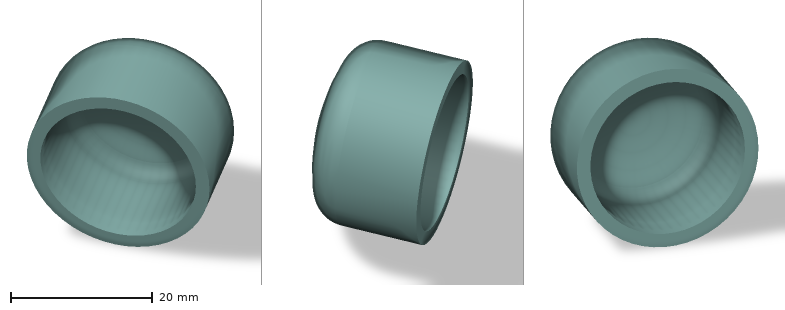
import cadquery as cq
import math

outer_diameter = 26.9
bore_diameter = 22.9
total_length = 18.25
skirt_length = 12.0
crown_radius = 29.6

outer_radius = outer_diameter / 2
wall = (outer_diameter - bore_diameter) / 2
open_end_y = -total_length / 2
skirt_end_y = open_end_y + skirt_length
crown_center_y = open_end_y + total_length - crown_radius

center_offset = skirt_end_y - crown_center_y
knuckle_radius = (crown_radius**2 - outer_radius**2 - center_offset**2) / (
    2 * (crown_radius - outer_radius)
)
knuckle_center_x = outer_radius - knuckle_radius

tangent_angle = math.atan2(knuckle_center_x, center_offset)


def domed_solid(inset):
    """Solid of revolution whose skin lies `inset` inside the outer skin."""
    radius = outer_radius - inset
    knuckle = knuckle_radius - inset
    crown = crown_radius - inset

    def knuckle_point(angle):
        return (
            knuckle_center_x + knuckle * math.sin(angle),
            skirt_end_y + knuckle * math.cos(angle),
        )

    def crown_point(angle):
        return (crown * math.sin(angle), crown_center_y + crown * math.cos(angle))

    knuckle_middle_angle = (tangent_angle + math.pi / 2) / 2
    return (
        cq.Workplane("XY")
        .moveTo(0, open_end_y)
        .lineTo(radius, open_end_y)
        .lineTo(radius, skirt_end_y)
        .threePointArc(knuckle_point(knuckle_middle_angle), knuckle_point(tangent_angle))
        .threePointArc(crown_point(tangent_angle / 2), crown_point(0))
        .close()
        .revolve(360, (0, 0, 0), (0, 1, 0))
    )


result = domed_solid(0).cut(domed_solid(wall))